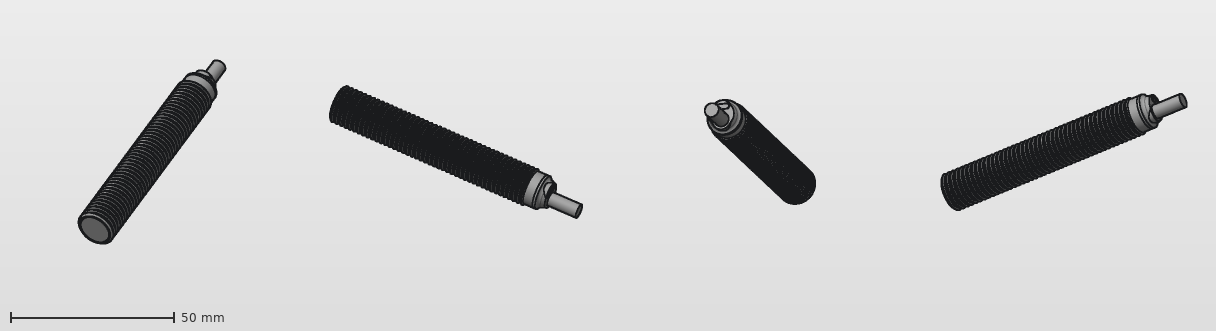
import cadquery as cq

total_length = 83.21
cable_exit_y = 73.4

thread_crest_radius = 6.0
body_radius = 5.5
thread_root_radius = 5.45
tooth_count = 44
tooth_pitch = 1.524
first_crest_y = 0.75
tooth_base_width = 1.0
tooth_crest_width = 0.15
front_edge_radius = 5.3
housing_end_y = 70.0

disc_radius = 4.85
disc_thickness = 1.0

cap_shoulder_y = 70.9
cap_waist_y = 72.1
cap_waist_radius = 4.5
cap_flare_middle = (4.83, 71.4)
cap_end_radius = 3.95
hub_radius = 3.1
hub_reach = 4.7

cable_offset = hub_reach - hub_radius
cable_radius = 2.25
cable_depth = 2.0

light_width = 4.8
light_height = 1.7
light_z = 2.55
light_projection = 0.25
light_depth = 1.0


def cylinder_along_y(radius, start_y, end_y, center_z=0.0):
    """Solid cylinder parallel to Y between two Y positions."""
    return (
        cq.Workplane("XZ", origin=(0, start_y, 0))
        .center(0, center_z)
        .circle(radius)
        .extrude(start_y - end_y)
    )


def slot_along_y(length, diameter, start_y, end_y, center_z=0.0, angle=0):
    """Solid round-ended bar parallel to Y between two Y positions."""
    return (
        cq.Workplane("XZ", origin=(0, start_y, 0))
        .center(0, center_z)
        .slot2D(length, diameter, angle)
        .extrude(start_y - end_y)
    )


def make_housing():
    """Turned sleeve with ring-shaped thread teeth and a recess for the sensing disc."""
    half_base = tooth_base_width / 2
    half_crest = tooth_crest_width / 2
    outline = [(0, 0), (front_edge_radius, 0)]
    for index in range(tooth_count):
        crest_y = first_crest_y + index * tooth_pitch
        if index > 0:
            outline.append((thread_root_radius, crest_y - half_base))
        outline.append((thread_crest_radius, crest_y - half_crest))
        outline.append((thread_crest_radius, crest_y + half_crest))
        outline.append((thread_root_radius, crest_y + half_base))
    thread_end_y = first_crest_y + (tooth_count - 1) * tooth_pitch + half_base
    outline[-1] = (body_radius, thread_end_y)
    outline += [(body_radius, housing_end_y), (0, housing_end_y)]
    sleeve = cq.Workplane("XY").polyline(outline).close().revolve(360, (0, 0, 0), (0, 1, 0))
    return sleeve.cut(make_sensing_disc())


def make_sensing_disc():
    """Round disc flush with the front face of the housing."""
    return cylinder_along_y(disc_radius, 0, disc_thickness)


def make_rear_cap():
    """Flared cap with an upright round-ended hub, holding the cable and the light."""
    outline = (
        cq.Workplane("XY")
        .moveTo(0, housing_end_y)
        .lineTo(body_radius, housing_end_y)
        .lineTo(body_radius, cap_shoulder_y)
        .threePointArc(cap_flare_middle, (cap_waist_radius, cap_waist_y))
        .lineTo(cap_end_radius, cable_exit_y)
        .lineTo(0, cable_exit_y)
        .close()
    )
    turned_cap = outline.revolve(360, (0, 0, 0), (0, 1, 0))
    hub = slot_along_y(2 * hub_reach, 2 * hub_radius, housing_end_y, cable_exit_y, angle=90)
    return turned_cap.union(hub).cut(make_cable()).cut(make_light())


def make_cable():
    """Round cable leaving the rear cap below the axis."""
    return cylinder_along_y(cable_radius, cable_exit_y - cable_depth, total_length, -cable_offset)


def make_light():
    """Indicator light standing slightly proud of the rear face."""
    return slot_along_y(
        light_width, light_height, cable_exit_y - light_depth, cable_exit_y + light_projection, light_z
    )


housing = make_housing()
sensing_disc = make_sensing_disc()
rear_cap = make_rear_cap()
cable = make_cable()
light = make_light()

result = cq.Compound.makeCompound(
    [housing.val(), sensing_disc.val(), rear_cap.val(), cable.val(), light.val()]
)